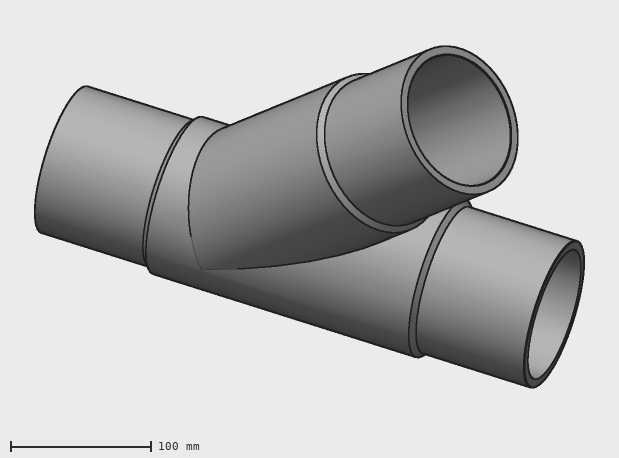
import cadquery as cq
import math

run_length = 380.0
spigot_length = 84.0
spigot_diameter = 110.0
body_diameter = 118.03
bore_diameter = 96.8
shoulder_chamfer = (body_diameter - spigot_diameter) / 2

end_chamfer = 0.5

branch_angle = 45.0
branch_start_x = 131.0
branch_length = 248.0

spigot_radius = spigot_diameter / 2
body_radius = body_diameter / 2
bore_radius = bore_diameter / 2

branch_direction = cq.Vector(
    math.cos(math.radians(branch_angle)), 0, math.sin(math.radians(branch_angle))
)
run_plane = cq.Plane(origin=(0, 0, 0), xDir=(0, 1, 0), normal=(1, 0, 0))
branch_plane = cq.Plane(origin=(branch_start_x, 0, 0), xDir=(0, 1, 0), normal=branch_direction)


def cylinder(plane, radius, start, end):
    """Solid cylinder on the plane's normal, between two distances from its origin."""
    return cq.Workplane(plane).workplane(offset=start).circle(radius).extrude(end - start)


def make_run():
    """Thick body with a chamfered shoulder and a thinner spigot at each end."""
    body = cylinder(run_plane, body_radius, spigot_length, run_length - spigot_length)
    body = body.edges("%CIRCLE").chamfer(shoulder_chamfer)

    spigots = cylinder(run_plane, spigot_radius, 0, run_length)
    spigots = spigots.faces(">X").chamfer(end_chamfer)
    return body.union(spigots)


def make_branch():
    """Thick body from the run axis, with a chamfered shoulder and one thinner spigot."""
    body = cylinder(branch_plane, body_radius, 0, branch_length - spigot_length)
    upper_face = cq.selectors.DirectionMinMaxSelector(branch_direction)
    body = body.faces(upper_face).chamfer(shoulder_chamfer)
    return body.union(cylinder(branch_plane, spigot_radius, 0, branch_length))


def make_flare(end_plane):
    """Cone that chamfers a bore edge, narrowing inward along the normal of a plane on the pipe end."""
    wide_end = cq.Workplane(end_plane).circle(bore_radius + end_chamfer)
    return wide_end.workplane(offset=end_chamfer).circle(bore_radius).loft()


branch_end_plane = cq.Plane(
    origin=branch_plane.toWorldCoords((0, 0, branch_length)),
    xDir=(0, 1, 0),
    normal=-branch_direction,
)

result = make_run().union(make_branch())
result = result.cut(cylinder(run_plane, bore_radius, 0, run_length))
result = result.cut(cylinder(branch_plane, bore_radius, 0, branch_length))
result = result.cut(make_flare(run_plane))
result = result.cut(make_flare(branch_end_plane))